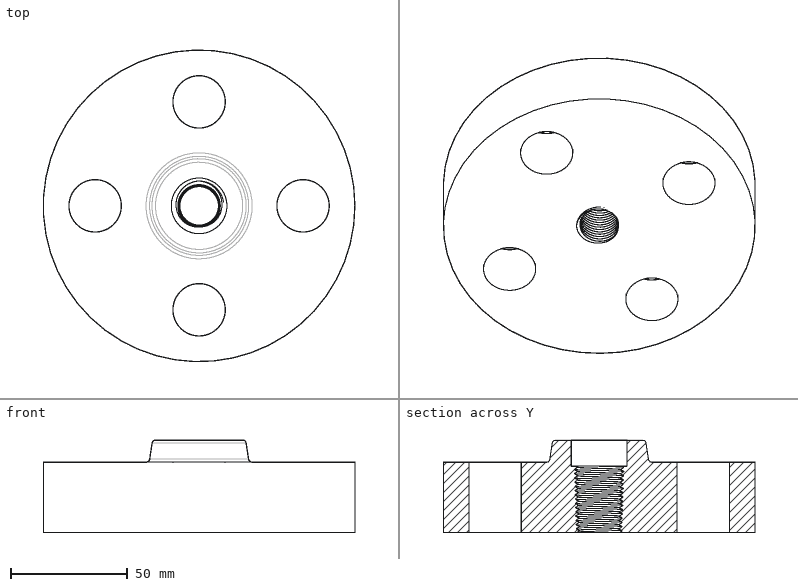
import cadquery as cq
import math

flange_diameter = 133.35
flange_thickness = 30.2
overall_height = 39.62

bolt_circle_diameter = 88.9
bolt_hole_diameter = 22.3
bolt_hole_count = 4

hub_height = overall_height - flange_thickness
hub_base_radius = 21.4
hub_top_radius = 19.95
hub_fillet_radius = 1.5

counterbore_diameter = 23.8
counterbore_depth = 11.2
thread_top = overall_height - counterbore_depth

inch = 25.4
threads_per_inch = 14
thread_pitch = inch / threads_per_inch
thread_radial_taper = 1 / 32
thread_taper_angle = math.degrees(math.atan(thread_radial_taper))
thread_half_angle = 30.0
thread_root_radius = 10.6
thread_depth = 1.5
thread_overrun_turns = 1
cutter_inner_overlap = 0.03
thread_start_angle = 90.0


def root_radius_at(z):
    """Radius of the thread root cone at height z."""
    return thread_root_radius + (z - thread_top) * thread_radial_taper


def make_disc():
    return cq.Workplane("XY").circle(flange_diameter / 2).extrude(flange_thickness)


def make_hub():
    """Frustum boss standing on the top face of the disc."""
    hub_section = [
        (0, 0),
        (hub_base_radius, 0),
        (hub_top_radius, hub_height),
        (0, hub_height),
    ]
    hub = cq.Workplane("XZ").polyline(hub_section).close().revolve(360, (0, 0, 0), (0, 1, 0))
    return hub.translate((0, 0, flange_thickness))


def make_blank():
    """Disc and hub, with the hub rim and the hub foot filleted alike."""
    blank = make_disc().union(make_hub())
    hub_rim = cq.selectors.RadiusNthSelector(0)
    hub_foot = cq.selectors.RadiusNthSelector(1)
    return blank.edges("%CIRCLE").edges(hub_rim + hub_foot).fillet(hub_fillet_radius)


def make_bolt_holes():
    return (
        cq.Workplane("XY")
        .polarArray(bolt_circle_diameter / 2, 0, 360, bolt_hole_count)
        .circle(bolt_hole_diameter / 2)
        .extrude(flange_thickness)
    )


def make_counterbore():
    return (
        cq.Workplane("XY", origin=(0, 0, thread_top))
        .circle(counterbore_diameter / 2)
        .extrude(counterbore_depth)
    )


def make_tapered_bore():
    """Cone through the crests of the thread, from the bottom face to the counterbore."""
    bore_section = [
        (0, 0),
        (root_radius_at(0) - thread_depth, 0),
        (root_radius_at(thread_top) - thread_depth, thread_top),
        (0, thread_top),
    ]
    return cq.Workplane("XZ").polyline(bore_section).close().revolve(360, (0, 0, 0), (0, 1, 0))


def make_thread_cutter():
    """V-shaped helical cutter bounded by ruled faces between its three corner helices."""
    start_turns = math.ceil(thread_top / thread_pitch) + thread_overrun_turns
    start_z = thread_top - start_turns * thread_pitch
    helix_height = (start_turns + thread_overrun_turns) * thread_pitch
    start_radius = root_radius_at(start_z)
    tooth_depth = thread_depth + cutter_inner_overlap
    tooth_half_width = tooth_depth * math.tan(math.radians(thread_half_angle))
    tooth_corners = [
        (start_radius, start_z),
        (start_radius - tooth_depth, start_z + tooth_half_width),
        (start_radius - tooth_depth, start_z - tooth_half_width),
    ]
    helices = [
        cq.Wire.makeHelix(thread_pitch, helix_height, radius, cq.Vector(0, 0, z), angle=thread_taper_angle)
        for radius, z in tooth_corners
    ]
    next_helices = helices[1:] + helices[:1]
    faces = [cq.Face.makeRuledSurface(*pair) for pair in zip(helices, next_helices)]
    start_outline = [helix.startPoint() for helix in helices]
    end_outline = [helix.endPoint() for helix in helices]
    for outline in (start_outline, end_outline):
        faces.append(cq.Face.makeFromWires(cq.Wire.makePolygon(outline, close=True)))
    cutter = cq.Solid.makeSolid(cq.Shell.makeShell(faces)).fix()
    return cq.Workplane(cutter).rotate((0, 0, 0), (0, 0, 1), thread_start_angle)


result = (
    make_blank()
    .cut(make_bolt_holes())
    .cut(make_counterbore())
    .cut(make_tapered_bore())
    .cut(make_thread_cutter())
    .solids()
)